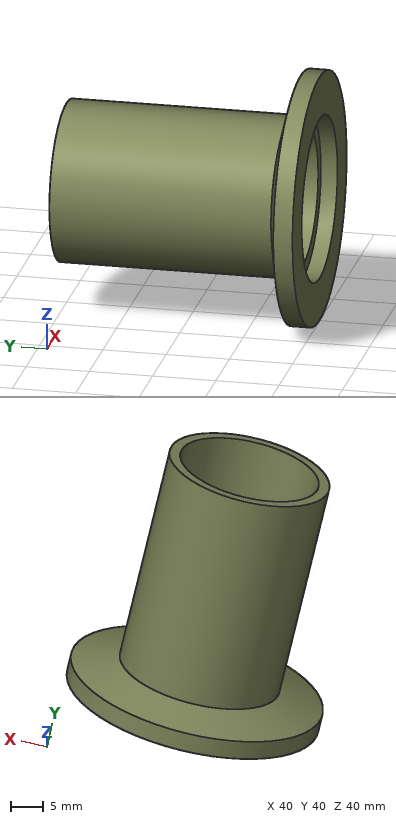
import cadquery as cq
import math

total_length = 40.0
flange_diameter = 40.0
rim_thickness = 3.0
taper_angle = 15.0
tube_diameter = 25.4
bore_diameter = 22.0
recess_diameter = 26.2
recess_depth = 2.6

flange_radius = flange_diameter / 2
tube_radius = tube_diameter / 2
taper_length = (flange_radius - tube_radius) * math.tan(math.radians(taper_angle))


def flanged_body():
    """Solid tube with a tapered clamp flange whose face lies at Y = 0."""
    half_profile = [
        (0, 0),
        (flange_radius, 0),
        (flange_radius, rim_thickness),
        (tube_radius, rim_thickness + taper_length),
        (tube_radius, total_length),
        (0, total_length),
    ]
    return cq.Workplane("XY").polyline(half_profile).close().revolve(360, (0, 0, 0), (0, 1, 0))


def round_cutter(diameter, depth):
    """Cylinder running from the flange face into the part along +Y."""
    return cq.Workplane("XZ").circle(diameter / 2).extrude(-depth)


bore = round_cutter(bore_diameter, total_length)
centring_recess = round_cutter(recess_diameter, recess_depth)

result = flanged_body().cut(bore).cut(centring_recess)